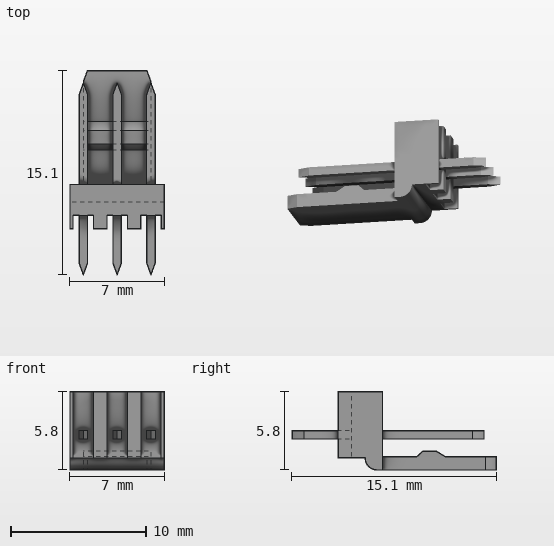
import cadquery as cq
import math


pin_count = 3
pin_pitch = 2.5
pin_size = 0.635
pin_center_z = 2.6
pin_front_reach = 7.5
pin_tail_reach = 3.4
taper_angle = math.radians(20)
pin_taper_length = pin_size / 2 / math.tan(taper_angle)

housing_depth = 3.3
housing_top = 5.8
housing_bottom = 0.9
side_wall = 0.25
pocket_width = 1.5
pocket_depth = 1.0
foot_depth = 1.3
foot_radius = housing_bottom
housing_width = (pin_count - 1) * pin_pitch + pocket_width + 2 * side_wall

latch_width = (pin_count - 1) * pin_pitch
latch_length = 8.4
latch_thickness = 1.0
latch_taper_length = 0.8
latch_taper_width = latch_taper_length * math.tan(taper_angle)
bump_height = 0.4
bump_root_y = 2.53
bump_top_start_y = 2.97
bump_top_end_y = 3.97
bump_tip_y = 4.63

pin_positions = [(i - (pin_count - 1) / 2) * pin_pitch for i in range(pin_count)]


def extrude_across(profile, width):
    """Extrude a closed YZ profile symmetrically about X = 0."""
    return profile.extrude(width / 2, both=True)


def make_housing():
    profile = (
        cq.Workplane("YZ")
        .moveTo(0, 0)
        .lineTo(0, housing_top)
        .lineTo(-housing_depth, housing_top)
        .lineTo(-housing_depth, housing_bottom)
        .lineTo(-foot_depth, housing_bottom)
        .radiusArc((foot_radius - foot_depth, 0), -foot_radius)
        .close()
    )
    housing = extrude_across(profile, housing_width)
    for x in pin_positions:
        housing = housing.cut(make_pocket(x))
    return housing


def make_pocket(x):
    """Full-height rear pocket around one pin tail."""
    return (
        cq.Workplane("XY")
        .box(pocket_width, pocket_depth, housing_top, centered=(True, False, False))
        .translate((x, -housing_depth, 0))
    )


def make_latch():
    bump_top = latch_thickness + bump_height
    side_profile = (
        cq.Workplane("YZ")
        .moveTo(0, 0)
        .lineTo(0, latch_thickness)
        .lineTo(bump_root_y, latch_thickness)
        .lineTo(bump_top_start_y, bump_top)
        .lineTo(bump_top_end_y, bump_top)
        .lineTo(bump_tip_y, latch_thickness)
        .lineTo(latch_length, latch_thickness)
        .lineTo(latch_length, 0)
        .close()
    )
    half_width = latch_width / 2
    half_tip = half_width - latch_taper_width
    shoulder_y = latch_length - latch_taper_length
    plan = (
        cq.Workplane("XY")
        .moveTo(-half_width, 0)
        .lineTo(half_width, 0)
        .lineTo(half_width, shoulder_y)
        .lineTo(half_tip, latch_length)
        .lineTo(-half_tip, latch_length)
        .lineTo(-half_width, shoulder_y)
        .close()
        .extrude(bump_top)
    )
    return extrude_across(side_profile, latch_width).intersect(plan)


def make_pin(x):
    """Square pin along Y, tapered in plan to an edge at both ends."""
    half_size = pin_size / 2
    front_y = pin_front_reach
    tail_y = -housing_depth - pin_tail_reach
    return (
        cq.Workplane("XY", origin=(x, 0, pin_center_z))
        .moveTo(0, front_y)
        .lineTo(half_size, front_y - pin_taper_length)
        .lineTo(half_size, tail_y + pin_taper_length)
        .lineTo(0, tail_y)
        .lineTo(-half_size, tail_y + pin_taper_length)
        .lineTo(-half_size, front_y - pin_taper_length)
        .close()
        .extrude(half_size, both=True)
    )


result = make_housing().union(make_latch())
for pin_x in pin_positions:
    result = result.union(make_pin(pin_x))